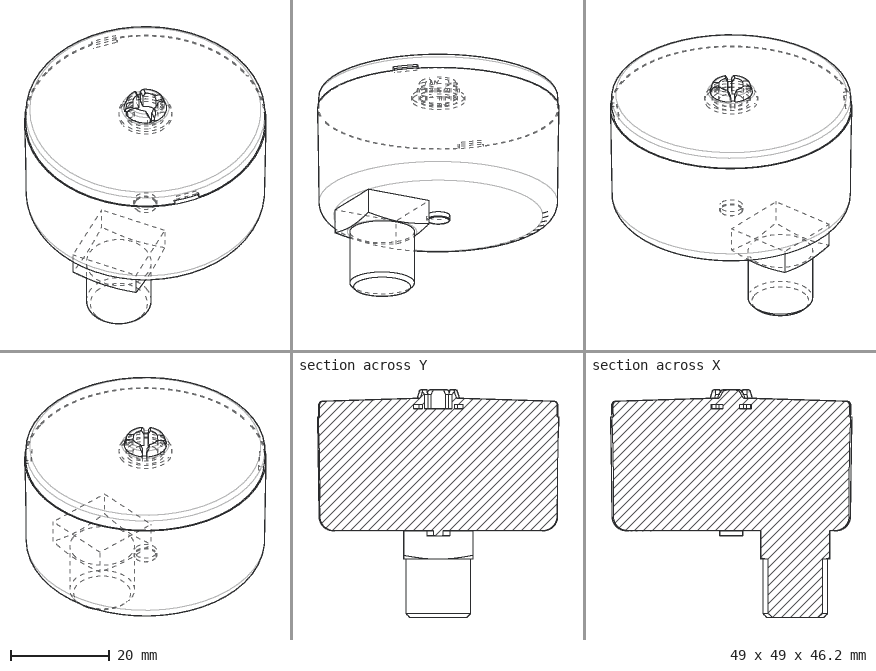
import cadquery as cq
import math

case_radius = 24.5
case_height = 23.15
case_bottom_radius = 24.15
case_bottom_fillet = 3.0

ring_radius = 24.25
ring_fillet = 0.85
window_edge_height = 26.3
window_center_height = 26.9
window_flat_radius = 4.8

notch_width = 5.15
notch_depth = 1.2
notch_height = 0.85
notch_angles = (135.0, 315.0)

crown_height = 1.7
crown_base_radius = 4.3
crown_shoulder_radius = 3.9
crown_fillet = 0.5
crown_bore_radius = 2.55
slot_width = 0.9
slot_mouth_width = 1.85
slot_mouth_depth = 1.0
slot_angles = (45.0, 135.0)

window_hole_radius = 3.9
window_thickness = 1.3
relief_radius = 5.4
relief_depth = 2.1

plug_radius = 2.35
plug_height = 1.1
plug_chamfer = 0.15

stem_y = -13.0
block_side = 14.05
block_height = 5.75
block_chamfer_angle = 15.0
stem_radius = 6.55
stem_end_radius = 5.8
stem_end_chamfer_height = 0.85
overall_height = 46.2

window_edge_radius = ring_radius - ring_fillet
crown_top = window_center_height + crown_height
relief_floor = window_center_height - relief_depth
stem_bottom = crown_top - overall_height


def make_case():
    profile = (
        cq.Workplane("XZ")
        .lineTo(case_bottom_radius, 0)
        .lineTo(case_radius, case_height)
        .lineTo(0, case_height)
        .close()
    )
    return profile.revolve(360, (0, 0), (0, 1)).faces("<Z").edges().fillet(case_bottom_fillet)


def make_cover():
    fillet_start = window_edge_height - ring_fillet
    middle = ring_fillet * math.sqrt(0.5)
    profile = (
        cq.Workplane("XZ")
        .moveTo(0, case_height)
        .lineTo(ring_radius, case_height)
        .lineTo(ring_radius, fillet_start)
        .threePointArc(
            (window_edge_radius + middle, fillet_start + middle),
            (window_edge_radius, window_edge_height),
        )
        .lineTo(window_flat_radius, window_center_height)
        .lineTo(0, window_center_height)
        .close()
    )
    return profile.revolve(360, (0, 0), (0, 1))


def make_notch(angle):
    floor_radius = ring_radius - notch_depth
    cutter = cq.Workplane("XY", origin=(floor_radius, 0, case_height)).box(
        2 * notch_depth, notch_width, notch_height, centered=(False, True, False)
    )
    return cutter.rotate((0, 0, 0), (0, 0, 1), angle)


def make_slot(angle):
    mouth_bottom = crown_top - slot_mouth_depth
    half_profile = [
        (slot_width / 2, window_center_height),
        (slot_width / 2, mouth_bottom),
        (slot_mouth_width / 2, crown_top),
    ]
    mirrored_profile = [(-x, z) for x, z in reversed(half_profile)]
    cutter = (
        cq.Workplane("XZ")
        .polyline(half_profile + mirrored_profile)
        .close()
        .extrude(window_flat_radius, both=True)
    )
    return cutter.rotate((0, 0, 0), (0, 0, 1), angle)


def make_crown():
    shoulder_height = crown_top - crown_fillet
    rim_radius = crown_shoulder_radius - crown_fillet
    middle = crown_fillet * math.sqrt(0.5)
    profile = (
        cq.Workplane("XZ")
        .moveTo(crown_bore_radius, window_center_height)
        .lineTo(crown_base_radius, window_center_height)
        .lineTo(crown_shoulder_radius, shoulder_height)
        .threePointArc((rim_radius + middle, shoulder_height + middle), (rim_radius, crown_top))
        .lineTo(crown_bore_radius, crown_top)
        .close()
    )
    crown = profile.revolve(360, (0, 0), (0, 1))
    for angle in slot_angles:
        crown = crown.cut(make_slot(angle))
    return crown


def make_slot_well(angle):
    channel = cq.Workplane("XY", origin=(0, 0, relief_floor)).box(
        2 * window_hole_radius, slot_width, relief_depth, centered=(True, True, False)
    )
    hole = cq.Workplane("XY", origin=(0, 0, relief_floor)).circle(window_hole_radius).extrude(relief_depth)
    return channel.intersect(hole).rotate((0, 0, 0), (0, 0, 1), angle)


def make_bore():
    return (
        cq.Workplane("XY", origin=(0, 0, relief_floor)).circle(crown_bore_radius).extrude(relief_depth)
    )


def make_relief():
    return (
        cq.Workplane("XY", origin=(0, 0, relief_floor))
        .circle(relief_radius)
        .circle(window_hole_radius)
        .extrude(relief_depth - window_thickness)
    )


def make_plug():
    return cq.Workplane("XY").circle(plug_radius).extrude(-plug_height).faces("<Z").chamfer(plug_chamfer)


def make_block():
    block = cq.Workplane("XY").rect(block_side, block_side).extrude(-block_height)
    inner_radius = block_side / 2
    outer_radius = block_side
    bevel_height = (outer_radius - inner_radius) * math.tan(math.radians(block_chamfer_angle))
    envelope = (
        cq.Workplane("XZ")
        .moveTo(0, 0)
        .lineTo(outer_radius, 0)
        .lineTo(outer_radius, bevel_height - block_height)
        .lineTo(inner_radius, -block_height)
        .lineTo(0, -block_height)
        .close()
        .revolve(360, (0, 0), (0, 1))
    )
    return block.intersect(envelope).translate((0, stem_y, 0))


def make_stem():
    profile = (
        cq.Workplane("XZ")
        .moveTo(0, -block_height)
        .lineTo(stem_radius, -block_height)
        .lineTo(stem_radius, stem_bottom + stem_end_chamfer_height)
        .lineTo(stem_end_radius, stem_bottom)
        .lineTo(0, stem_bottom)
        .close()
    )
    return profile.revolve(360, (0, 0), (0, 1)).translate((0, stem_y, 0))


cover = make_cover()
for notch_angle in notch_angles:
    cover = cover.cut(make_notch(notch_angle))

result = make_case().union(cover).union(make_crown())
result = result.cut(make_bore()).cut(make_relief())
for slot_angle in slot_angles:
    result = result.cut(make_slot_well(slot_angle))
result = result.union(make_plug()).union(make_block()).union(make_stem())